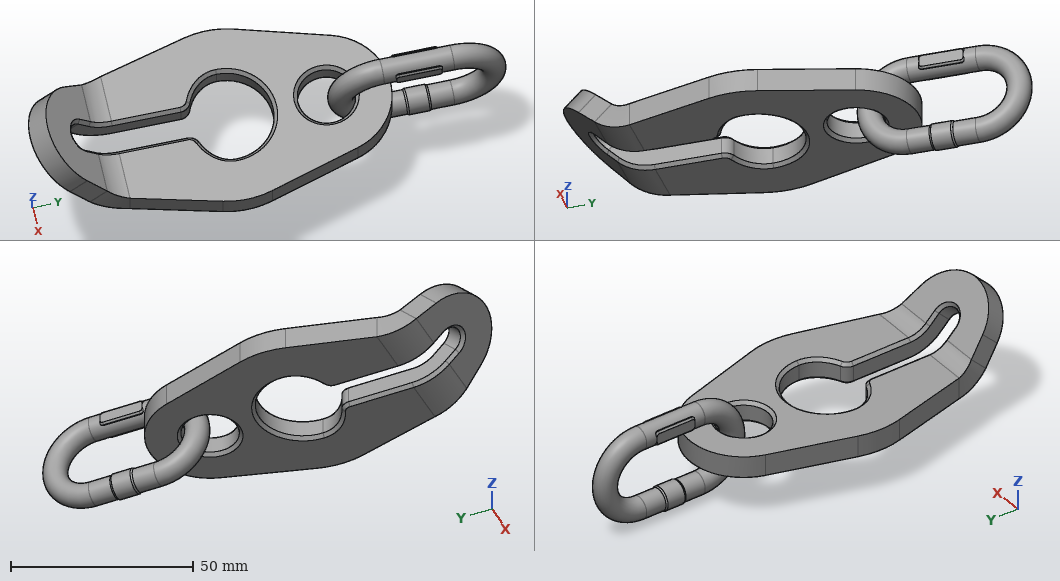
import cadquery as cq
import math

thickness = 7.0
plate_width = 51.9
waist_radius = plate_width / 2
lobe_radius = 18.0
tip_radius = 15.0
large_hole_diameter = 26.0
large_hole_depth = 10.1
link_hole_diameter = 16.0
link_hole_y = 28.0
slot_width = 8.0
neck_radius = 3.2
edge_chamfer = 1.0
cut_margin = 0.7

bend_start_y = -31.2
bend_inner_radius = 8.3
bend_angle = 45.0
tongue_length = 18.5
slot_end_length = 8.3

wire_diameter = 7.0
link_length = 49.9
link_height = 30.2
link_center_y = 53.4
weld_diameter = 7.5
weld_length = 5.7
weld_taper_length = 0.5
pad_length = 13.7
pad_height = 4.5
pad_corner_radius = 1.3
pad_chamfer = 0.5

bend_axis_z = thickness + bend_inner_radius
bend_mid_radius = bend_inner_radius + thickness / 2
bend_radians = math.radians(bend_angle)
bend_developed = bend_mid_radius * bend_radians
bend_end_developed_y = bend_start_y - bend_developed
tip_center_y = bend_end_developed_y - tongue_length + tip_radius


def tangent_point(radius, center_y, tilt):
    """Point where a side line, tilted from Y, touches a circle centred on X = 0."""
    return (radius * math.cos(tilt), center_y + radius * math.sin(tilt))


upper_tilt = math.asin((waist_radius - lobe_radius) / link_hole_y)
lower_tilt = math.asin((waist_radius - tip_radius) / tip_center_y)


def side_half_width(y):
    """Half width of the developed plate on its lower straight sides."""
    return (waist_radius - y * math.sin(lower_tilt)) / math.cos(lower_tilt)


def mirrored(point):
    """The same point on the other side of the plate's centre line."""
    return (-point[0], point[1])


def make_flat():
    """Level part of the plate, from the lobe to the start of the bend, not yet pierced."""
    lobe_tangent = tangent_point(lobe_radius, link_hole_y, upper_tilt)
    waist_upper = tangent_point(waist_radius, 0, upper_tilt)
    waist_lower = tangent_point(waist_radius, 0, lower_tilt)
    bend_corner = (side_half_width(bend_start_y), bend_start_y)
    return (
        cq.Workplane("XY")
        .moveTo(*bend_corner)
        .lineTo(*waist_lower)
        .threePointArc((waist_radius, 0), waist_upper)
        .lineTo(*lobe_tangent)
        .threePointArc((0, link_hole_y + lobe_radius), mirrored(lobe_tangent))
        .lineTo(*mirrored(waist_upper))
        .threePointArc((-waist_radius, 0), mirrored(waist_lower))
        .lineTo(*mirrored(bend_corner))
        .close()
        .extrude(thickness)
    )


def pierce_flat(flat):
    """Cut the link hole and the keyhole, round the keyhole's neck and chamfer all the rims."""
    hole_radius = large_hole_diameter / 2
    slot_half = slot_width / 2
    neck_y = -large_hole_depth * math.sqrt(1 - (slot_half / hole_radius) ** 2)
    large_hole = (
        cq.Workplane("XY")
        .moveTo(hole_radius, 0)
        .threePointArc((0, hole_radius), (-hole_radius, 0))
        .ellipseArc(hole_radius, large_hole_depth, 180, 360, startAtCurrent=True)
        .close()
        .extrude(thickness)
    )
    slot = cq.Workplane("XY").box(slot_width, -bend_start_y, thickness, centered=(True, False, False))
    slot = slot.translate((0, bend_start_y, 0))
    link_hole = cq.Workplane("XY").center(0, link_hole_y).circle(link_hole_diameter / 2).extrude(thickness)
    neck_corners = cq.selectors.BoxSelector(
        (-slot_width, neck_y - slot_half, edge_chamfer),
        (slot_width, neck_y + slot_half, thickness - edge_chamfer),
    )
    rims = cq.selectors.BoxSelector(
        (-hole_radius, bend_start_y + slot_half, -cut_margin),
        (hole_radius, link_hole_y + link_hole_diameter / 2, thickness + cut_margin),
    )
    pierced = flat.cut(large_hole).cut(slot).cut(link_hole)
    pierced = pierced.edges(neck_corners).fillet(neck_radius)
    return pierced.faces("<Z or >Z").edges(rims).chamfer(edge_chamfer)


def make_bend():
    """Curved part of the plate, its width tapering evenly along the bend."""
    start_width = 2 * side_half_width(bend_start_y)
    end_width = 2 * side_half_width(bend_end_developed_y)

    def on_mid_arc(swing):
        y = bend_start_y - bend_mid_radius * math.sin(swing)
        z = bend_axis_z - bend_mid_radius * math.cos(swing)
        return (y, z)

    path = cq.Workplane("YZ").moveTo(*on_mid_arc(0))
    path = path.threePointArc(on_mid_arc(bend_radians / 2), on_mid_arc(bend_radians))
    end_y, end_z = on_mid_arc(bend_radians)
    start_plane = cq.Plane((0, bend_start_y, thickness / 2), (1, 0, 0), (0, -1, 0))
    end_plane = cq.Plane((0, end_y, end_z), (1, 0, 0), (0, -math.cos(bend_radians), math.sin(bend_radians)))
    start = cq.Workplane(start_plane).rect(start_width, thickness).wires().val()
    end = cq.Workplane(end_plane).rect(end_width, thickness).wires().val()
    return cq.Workplane(cq.Solid.sweep_multi([start, end], path.val(), True, False))


def tongue_plane():
    """Plane of the tongue's underside at the end of the bend, local Y pointing back to the bend."""
    outer_radius = bend_inner_radius + thickness
    origin_y = bend_start_y - outer_radius * math.sin(bend_radians)
    origin_z = bend_axis_z - outer_radius * math.cos(bend_radians)
    return cq.Plane((0, origin_y, origin_z), (1, 0, 0), (0, math.sin(bend_radians), math.cos(bend_radians)))


def make_tongue():
    """Flat, round-ended part of the plate beyond the bend."""
    local_tip_center = tip_center_y - bend_end_developed_y
    tip_tangent = tangent_point(tip_radius, local_tip_center, lower_tilt)
    bend_corner = (side_half_width(bend_end_developed_y), 0)
    return (
        cq.Workplane(tongue_plane())
        .moveTo(*bend_corner)
        .lineTo(*tip_tangent)
        .threePointArc((0, -tongue_length), mirrored(tip_tangent))
        .lineTo(*mirrored(bend_corner))
        .close()
        .extrude(thickness)
    )


def edge_relieved(half_width):
    """Half cross-section, from the centre out, of an opening chamfered at both plate faces.

    The chamfers run on past the faces so that the cut clears them.
    """
    wide = half_width + edge_chamfer + cut_margin
    return [
        (0, -cut_margin),
        (wide, -cut_margin),
        (half_width, edge_chamfer),
        (half_width, thickness - edge_chamfer),
        (wide, thickness + cut_margin),
        (0, thickness + cut_margin),
    ]


def slot_section(workplane):
    """Full cross-section of the chamfered slot."""
    half = edge_relieved(slot_width / 2)
    return workplane.polyline(half[1:-1] + [mirrored(p) for p in half[-2:0:-1]]).close()


def make_bent_slot():
    """Slot through the bend and into the tongue, chamfered on both faces."""
    bend_plane = cq.Workplane("XZ", origin=(0, bend_start_y, 0))
    bent = slot_section(bend_plane).revolve(bend_angle, (0, bend_axis_z, 0), (-1, bend_axis_z, 0))
    plane = tongue_plane()
    end_center = slot_end_length - slot_width / 2
    start_plane = cq.Plane(plane.origin, plane.xDir, -plane.yDir)
    in_tongue = slot_section(cq.Workplane(start_plane)).extrude(end_center)
    end_plane = cq.Plane(plane.toWorldCoords((0, -end_center, 0)), plane.xDir, -plane.yDir)
    end_profile = cq.Workplane(end_plane).polyline(edge_relieved(slot_width / 2)).close()
    rounded_end = end_profile.revolve(360, (0, 0, 0), (0, 1, 0))
    return bent.union(in_tongue).union(rounded_end)


def make_plate():
    bent_end = make_bend().union(make_tongue()).cut(make_bent_slot())
    return pierce_flat(make_flat()).union(bent_end)


link_center_z = thickness / 2
link_bend_radius = (link_height - wire_diameter) / 2
link_half_straight = (link_length - link_height) / 2


def make_ring():
    """Plain oval of round wire, bent in the plane X = 0."""
    front_y = link_center_y - link_half_straight
    back_y = link_center_y + link_half_straight
    top_z = link_center_z + link_bend_radius
    bottom_z = link_center_z - link_bend_radius
    path = (
        cq.Workplane("YZ")
        .moveTo(front_y, top_z)
        .lineTo(back_y, top_z)
        .threePointArc((back_y + link_bend_radius, link_center_z), (back_y, bottom_z))
        .lineTo(front_y, bottom_z)
        .threePointArc((front_y - link_bend_radius, link_center_z), (front_y, top_z))
        .close()
    )
    section = cq.Workplane("XZ", origin=(0, front_y, top_z)).circle(wire_diameter / 2)
    return section.sweep(path)


def make_weld():
    """Slightly thicker sleeve, tapered at both ends, around the lower straight."""
    half_length = weld_length / 2
    reach = half_length + weld_taper_length
    profile = [
        (0, -reach),
        (wire_diameter / 2, -reach),
        (weld_diameter / 2, -half_length),
        (weld_diameter / 2, half_length),
        (wire_diameter / 2, reach),
        (0, reach),
    ]
    weld = cq.Workplane("XY").polyline(profile).close().revolve(360, (0, 0, 0), (0, 1, 0))
    return weld.translate((0, link_center_y, link_center_z - link_bend_radius))


def make_pads():
    """Flat marking pads on both sides of the upper straight, level with the wire's sides."""
    pads = (
        cq.Workplane("YZ")
        .rect(pad_length, pad_height)
        .extrude(wire_diameter / 2, both=True)
        .edges("|X")
        .fillet(pad_corner_radius)
        .faces("<X or >X")
        .chamfer(pad_chamfer)
    )
    return pads.translate((0, link_center_y, link_center_z + link_bend_radius))


def make_link():
    return make_ring().union(make_weld()).union(make_pads())


plate = make_plate()
link = make_link()

result = cq.Compound.makeCompound([plate.val(), link.val()])